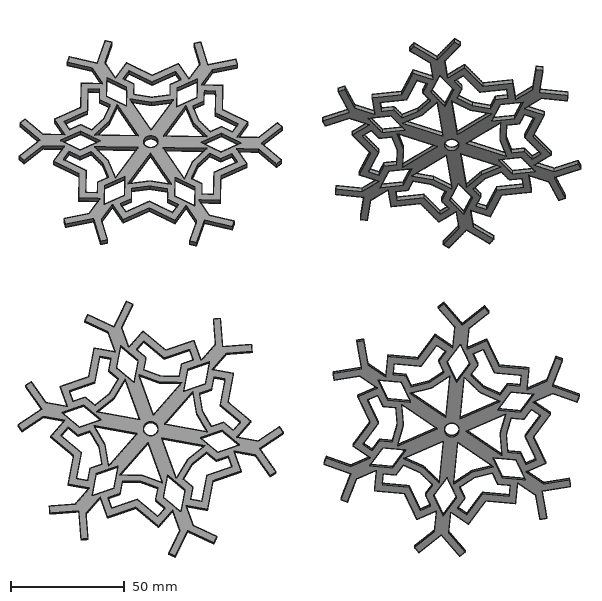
import cadquery as cq
import math

ARMS = 6
SECTOR = 360 / ARMS
HALF_SECTOR = SECTOR / 2
COS_HALF = math.cos(math.radians(HALF_SECTOR))
TAN_HALF = math.tan(math.radians(HALF_SECTOR))

thickness = 2.5
tip_to_tip = 115.5
spoke_width = 6.3
band_width = spoke_width / 2
hole_diameter = 6.3

fork_crotch = 48.7
fork_angle = 45.0

frame_radius = 36.0

diamond_centre = 30.9
diamond_half_length = 8.8

star_point_radius = 31.0
star_valley_radius = 24.1
star_band = 2.8


def polar(radius, angle):
    """Point at a radius and an angle in degrees."""
    return (radius * math.cos(math.radians(angle)), radius * math.sin(math.radians(angle)))


def plate(points):
    """Closed outline extruded to the full thickness."""
    return cq.Workplane("XY").polyline(points).close().extrude(thickness)


def around(shape):
    """Union of one copy of the shape per arm."""
    pattern = shape
    for arm in range(1, ARMS):
        pattern = pattern.union(shape.rotate((0, 0, 0), (0, 0, 1), arm * SECTOR))
    return pattern


def spoke_with_fork():
    """Straight spoke along +X ending in two prongs."""
    cos_fork = math.cos(math.radians(fork_angle))
    root_to_crotch = band_width / 2 / math.sin(math.radians(fork_angle))
    prong_root = fork_crotch - root_to_crotch
    inner_edge_length = (tip_to_tip / 2 - fork_crotch) / cos_fork
    prong_length = root_to_crotch * cos_fork + inner_edge_length
    prong = (
        cq.Workplane("XY")
        .rect(prong_length, band_width)
        .extrude(thickness)
        .translate((prong_length / 2, 0, 0))
    )
    shoulder = prong_root - root_to_crotch + spoke_width / 2 / math.tan(math.radians(fork_angle))
    spoke = plate([
        (0, -spoke_width / 2),
        (shoulder, -spoke_width / 2),
        (fork_crotch, 0),
        (shoulder, spoke_width / 2),
        (0, spoke_width / 2),
    ])
    for side in (1, -1):
        turned_prong = prong.rotate((0, 0, 0), (0, 0, 1), side * fork_angle)
        spoke = spoke.union(turned_prong.translate((prong_root, 0, 0)))
    return spoke


def frame_plate(radius):
    """Twelve-sided plate with a square lug on every side; radius to its twelve corners."""
    lug_corner_radius = radius * COS_HALF * math.sqrt(2)
    points = []
    for arm in range(ARMS):
        spoke_angle = arm * SECTOR
        points += [
            polar(radius, spoke_angle),
            polar(lug_corner_radius, spoke_angle + HALF_SECTOR / 2),
            polar(radius, spoke_angle + HALF_SECTOR),
            polar(lug_corner_radius, spoke_angle + HALF_SECTOR * 3 / 2),
        ]
    return plate(points)


def star_plate(scale):
    """Blunt star with its points on the spokes."""
    points = []
    for arm in range(ARMS):
        points.append(polar(star_point_radius * scale, arm * SECTOR))
        points.append(polar(star_valley_radius * scale, arm * SECTOR + HALF_SECTOR))
    return plate(points)


def diamond_plate(half_length):
    """Rhombus on the +X spoke, long diagonal along the spoke."""
    half_width = half_length * TAN_HALF
    return plate([
        (diamond_centre - half_length, 0),
        (diamond_centre, -half_width),
        (diamond_centre + half_length, 0),
        (diamond_centre, half_width),
    ])


frame = frame_plate(frame_radius)
frame_band = frame.cut(frame_plate(frame_radius - band_width / COS_HALF))

star_edge_angle = math.atan2(
    star_valley_radius * math.sin(math.radians(HALF_SECTOR)),
    star_point_radius - star_valley_radius * COS_HALF,
)
star_edge_distance = star_point_radius * math.sin(star_edge_angle)
star_opening = star_plate(1 - star_band / star_edge_distance)
star_ring = star_plate(1).cut(star_opening)

rim_half_length = diamond_half_length + band_width / math.sin(math.radians(HALF_SECTOR))
diamond_rims = around(diamond_plate(rim_half_length)).intersect(frame).cut(star_opening)

snowflake = around(spoke_with_fork()).union(frame_band).union(star_ring).union(diamond_rims)

diamond_openings = around(diamond_plate(diamond_half_length))
centre_hole = cq.Workplane("XY").circle(hole_diameter / 2).extrude(thickness)
result = snowflake.cut(diamond_openings).cut(centre_hole)